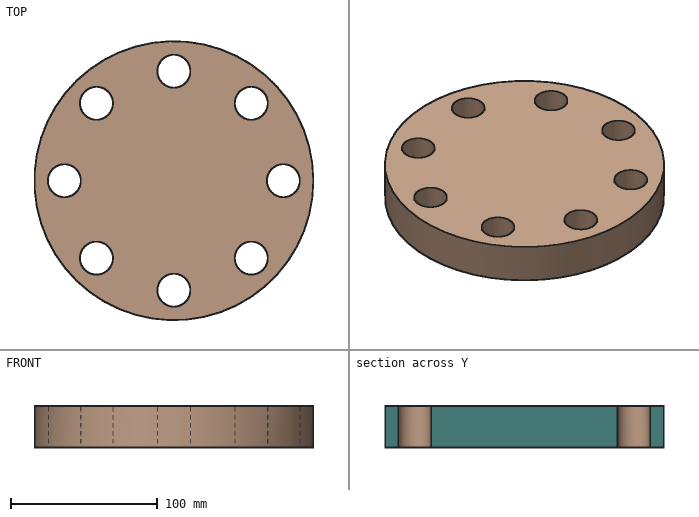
import cadquery as cq

flange_diameter = 190.5
flange_thickness = 28.45
bolt_circle_diameter = 149.4
bolt_hole_diameter = 22.35
bolt_hole_count = 8


def flange_disc():
    """Solid disc, centred on Z, with its bottom face at Z = 0."""
    return cq.Workplane("XY").circle(flange_diameter / 2).extrude(flange_thickness)


def bolt_holes():
    """Cylinders to remove, evenly spaced on the bolt circle starting at +X."""
    return (
        cq.Workplane("XY")
        .polarArray(bolt_circle_diameter / 2, 0, 360, bolt_hole_count)
        .circle(bolt_hole_diameter / 2)
        .extrude(flange_thickness)
    )


result = flange_disc().cut(bolt_holes())